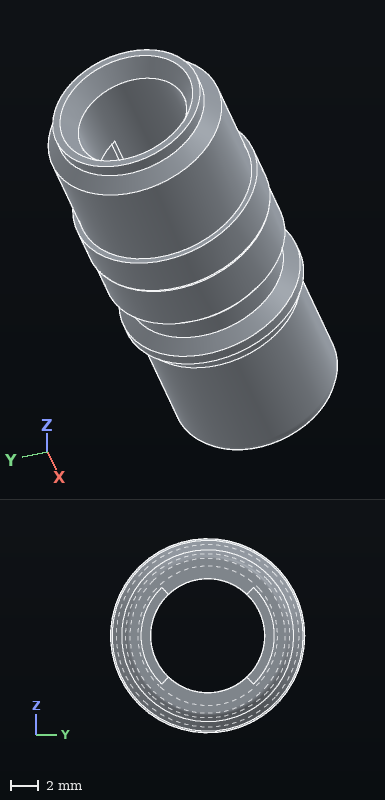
import cadquery as cq
import math

length = 31.0
bore_diameter = 8.2

nose_diameter = 11.2
front_diameter = 13.18
collar_diameter = 14.0
land_diameter = 13.75
groove_diameter = 11.85
tail_diameter = 12.4

nose_end = 1.0
collar_start = 9.0
collar_end = 12.0
land_start = 12.25
land_end = 15.8
groove_end = 18.4
rim_end = 20.2
tail_start = 21.42
groove_chamfer = (land_diameter - groove_diameter) / 2
front_chamfer = (front_diameter - nose_diameter) / 2

lead_in_angle = math.radians(30)
shoulder_radius = 0.87
cone_length = 0.37
end_radius = 0.37

mouth_diameter = 10.08
mouth_depth = 1.43

keyway_diameter = 9.6
keyway_half_angle = math.radians(46.5)
keyway_start = 6.0


def arc_point(centre, radius, angle):
    """Return the point on an arc at an angle turned from straight out towards the tail."""
    return (centre[0] + radius * math.sin(angle), centre[1] + radius * math.cos(angle))


def make_body():
    """Revolve the stepped outside about the X axis."""
    tail_radius = tail_diameter / 2
    cone_drop = cone_length * math.tan(lead_in_angle)
    end_centre_x = length - end_radius
    cone_bottom_x = end_centre_x + end_radius * math.sin(lead_in_angle)
    shoulder_x = cone_bottom_x - cone_length - shoulder_radius * math.sin(lead_in_angle)
    shoulder_centre = (shoulder_x, tail_radius - shoulder_radius)
    tail_point = arc_point(shoulder_centre, shoulder_radius, 0)
    shoulder_middle = arc_point(shoulder_centre, shoulder_radius, lead_in_angle / 2)
    cone_top = arc_point(shoulder_centre, shoulder_radius, lead_in_angle)
    cone_bottom = (cone_bottom_x, cone_top[1] - cone_drop)
    end_centre = (end_centre_x, cone_bottom[1] - end_radius * math.cos(lead_in_angle))
    end_middle = arc_point(end_centre, end_radius, (lead_in_angle + math.pi / 2) / 2)
    end_point = arc_point(end_centre, end_radius, math.pi / 2)
    profile = (
        cq.Workplane("XY")
        .lineTo(0, nose_diameter / 2)
        .lineTo(nose_end, nose_diameter / 2)
        .lineTo(nose_end + front_chamfer, front_diameter / 2)
        .lineTo(collar_start, front_diameter / 2)
        .lineTo(collar_start, collar_diameter / 2)
        .lineTo(collar_end, collar_diameter / 2)
        .lineTo(land_start, land_diameter / 2)
        .lineTo(land_end, land_diameter / 2)
        .lineTo(land_end + groove_chamfer, groove_diameter / 2)
        .lineTo(groove_end, groove_diameter / 2)
        .lineTo(groove_end + groove_chamfer, land_diameter / 2)
        .lineTo(rim_end, land_diameter / 2)
        .lineTo(tail_start, tail_radius)
        .lineTo(*tail_point)
        .threePointArc(shoulder_middle, cone_top)
        .lineTo(*cone_bottom)
        .threePointArc(end_middle, end_point)
        .lineTo(length, 0)
        .close()
    )
    return profile.revolve(360, (0, 0, 0), (1, 0, 0))


def make_bore():
    """Revolve the through bore with its flared mouth."""
    profile = (
        cq.Workplane("XY")
        .lineTo(0, mouth_diameter / 2)
        .lineTo(mouth_depth, bore_diameter / 2)
        .lineTo(length, bore_diameter / 2)
        .lineTo(length, 0)
        .close()
    )
    return profile.revolve(360, (0, 0, 0), (1, 0, 0))


def make_keyways():
    """Trim a round bar to two opposed sectors with radial sides, centred on +Y and -Y."""
    keyway_length = length - keyway_start
    sector_y = keyway_diameter
    sector_z = sector_y * math.tan(keyway_half_angle)
    start_face = cq.Workplane("YZ", origin=(keyway_start, 0, 0))
    bar = start_face.circle(keyway_diameter / 2).extrude(keyway_length)
    keyways = cq.Workplane()
    for side in (1, -1):
        outline = start_face.polyline([(0, 0), (side * sector_y, -sector_z), (side * sector_y, sector_z)])
        wedge = outline.close().extrude(keyway_length)
        keyways.add(bar.intersect(wedge))
    return keyways.combine()


result = make_body().cut(make_bore()).cut(make_keyways())